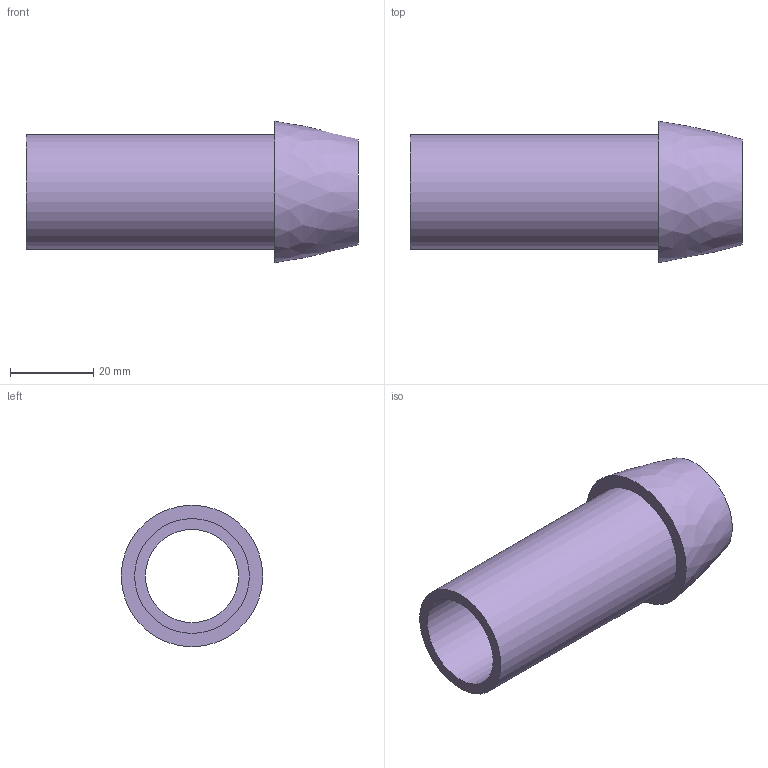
import cadquery as cq

total_length = 79.8
head_length = 20.0
bore_diameter = 22.4
tube_diameter = 27.6
head_diameter = 34.0
nose_diameter = 25.4
head_middle_diameter = 30.4

shoulder_x = total_length - head_length
head_middle_x = shoulder_x + head_length / 2

bore_radius = bore_diameter / 2
tube_radius = tube_diameter / 2
head_radius = head_diameter / 2
head_middle_radius = head_middle_diameter / 2
nose_radius = nose_diameter / 2


def wall_section():
    """Half section of the wall, from the bore out to the tube and curved head."""
    return (
        cq.Workplane("XY")
        .moveTo(0, bore_radius)
        .lineTo(0, tube_radius)
        .lineTo(shoulder_x, tube_radius)
        .lineTo(shoulder_x, head_radius)
        .threePointArc((head_middle_x, head_middle_radius), (total_length, nose_radius))
        .lineTo(total_length, bore_radius)
        .close()
    )


result = wall_section().revolve(360, (0, 0, 0), (1, 0, 0))